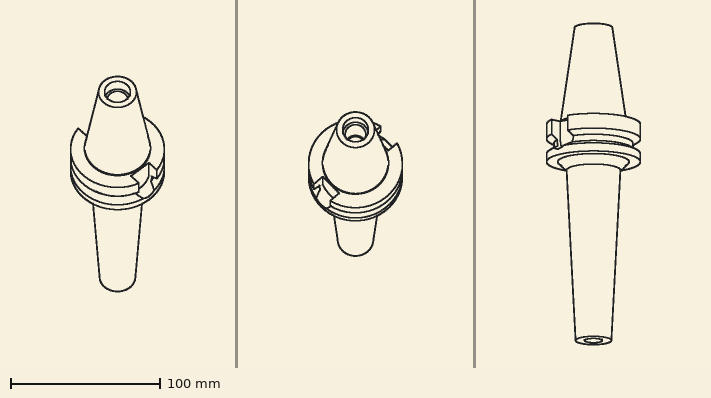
import cadquery as cq

total_height = 215.5
gauge_z = 150.0
flange_top_z = 148.8
groove_top_z = 138.7
groove_root_top_z = 135.7
groove_root_bottom_z = 131.5
groove_bottom_z = 128.5
flange_bottom_z = 123.0
nozzle_top_z = 117.2

shank_end_radius = 12.7
gauge_radius = 22.2
neck_radius = 21.8
flange_radius = 31.5
groove_radius = 26.5
collar_radius = 24.0
nozzle_top_radius = 18.0
nozzle_tip_radius = 12.0

mouth_radius = 8.6
mouth_depth = 9.0
thread_radius = 7.0
thread_depth = 30.2
bore_radius = 6.0

slot_width = 16.2
slot_floor_x = 22.5
slot_bottom_z = 127.0
slot_end_radius = slot_width / 2
slot_center_z = slot_bottom_z + slot_end_radius


def make_body():
    """Revolve the outer profile: nozzle, grooved flange and tapered shank."""
    profile = [
        (0, 0),
        (nozzle_tip_radius, 0),
        (nozzle_top_radius, nozzle_top_z),
        (collar_radius, flange_bottom_z),
        (flange_radius, flange_bottom_z),
        (flange_radius, groove_bottom_z),
        (groove_radius, groove_root_bottom_z),
        (groove_radius, groove_root_top_z),
        (flange_radius, groove_top_z),
        (flange_radius, flange_top_z),
        (neck_radius, flange_top_z),
        (neck_radius, gauge_z),
        (gauge_radius, gauge_z),
        (shank_end_radius, total_height),
        (0, total_height),
    ]
    return cq.Workplane("XZ").polyline(profile).close().revolve(360, (0, 0), (0, 1))


def make_bore():
    """Through bore with two wider steps at the shank end."""
    bore = cq.Workplane("XY").circle(bore_radius).extrude(total_height)
    for radius, depth in ((mouth_radius, mouth_depth), (thread_radius, thread_depth)):
        step = cq.Workplane("XY", origin=(0, 0, total_height - depth)).circle(radius).extrude(depth)
        bore = bore.union(step)
    return bore


def make_drive_slot():
    """Round-ended slot on the +X side, open through the top and rim of the flange."""
    return (
        cq.Workplane("YZ", origin=(slot_floor_x, 0, 0))
        .moveTo(-slot_end_radius, flange_top_z)
        .lineTo(-slot_end_radius, slot_center_z)
        .threePointArc((0, slot_bottom_z), (slot_end_radius, slot_center_z))
        .lineTo(slot_end_radius, flange_top_z)
        .close()
        .extrude(flange_radius)
    )


result = make_body().cut(make_bore())
for angle in (0, 180):
    result = result.cut(make_drive_slot().rotate((0, 0, 0), (0, 0, 1), angle))